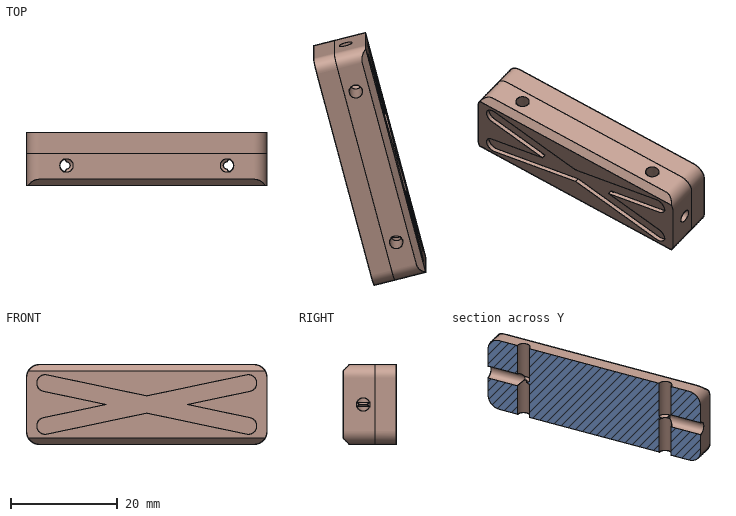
import cadquery as cq
import math

LENGTH = 45.0
DEPTH = 10.0
HEIGHT = 15.0
CORNER_RADIUS = 2.48
COVER_THICKNESS = 4.0
HOUSING_DEPTH = DEPTH - COVER_THICKNESS
CHAMFER = 1.2

RECESS_DEPTH = 0.8
RECESS_HALF_WIDTH = 1.58
RECESS_END_X = 19.0
RECESS_END_Z = 4.0

HOLE_DIAMETER = 2.48
HOLE_RADIUS = HOLE_DIAMETER / 2
DRILL_POINT_ANGLE = 118
SHOULDER_GAP = 0.35
HOLE_Y = 3.8
HOLE_FROM_END = 7.5
CROSS_HOLE_X = LENGTH / 2 - HOLE_FROM_END


def rounded_slab(front_y, thickness):
    """Slab with rounded corners, extending toward +Y from front_y."""
    slab = cq.Workplane("XY").box(LENGTH, thickness, HEIGHT)
    return slab.edges("|Y").fillet(CORNER_RADIUS).translate((0, front_y + thickness / 2, 0))


def chamfer_wedge(side):
    """Triangular bar that bevels the upper (+1) or lower (-1) front edge."""
    edge_z = side * HEIGHT / 2
    return (
        cq.Workplane("YZ")
        .moveTo(0, edge_z)
        .lineTo(CHAMFER, edge_z)
        .lineTo(0, edge_z - side * CHAMFER)
        .close()
        .extrude(LENGTH / 2, both=True)
    )


def recess_stroke(side):
    """One round-ended diagonal of the X, rising (+1) or falling (-1) along X."""
    end_distance = math.hypot(RECESS_END_X, RECESS_END_Z)
    slope_angle = math.degrees(math.atan2(RECESS_END_Z, RECESS_END_X))
    slot_length = 2 * (end_distance + RECESS_HALF_WIDTH)
    return (
        cq.Workplane("XZ")
        .slot2D(slot_length, 2 * RECESS_HALF_WIDTH, side * slope_angle)
        .extrude(-RECESS_DEPTH)
    )


def drilled_hole(shoulder_depth):
    """Drill shape pointing toward -Z from the origin: a cylinder with a conical tip."""
    tip_length = HOLE_RADIUS / math.tan(math.radians(DRILL_POINT_ANGLE / 2))
    return (
        cq.Workplane("XZ")
        .lineTo(HOLE_RADIUS, 0)
        .lineTo(HOLE_RADIUS, -shoulder_depth)
        .lineTo(0, -shoulder_depth - tip_length)
        .close()
        .revolve(360, (0, 0, 0), (0, 1, 0))
    )


def cross_hole(end, side):
    """Blind hole from the upper (+1) or lower (-1) long edge, near one end."""
    drill = drilled_hole(HEIGHT / 2 - SHOULDER_GAP).translate((0, 0, HEIGHT / 2))
    if side < 0:
        drill = drill.rotate((0, 0, 0), (1, 0, 0), 180)
    return drill.translate((end * CROSS_HOLE_X, HOLE_Y, 0))


def end_hole(end):
    """Blind hole along X from one end face into the cross holes."""
    drill = drilled_hole(HOLE_FROM_END - SHOULDER_GAP)
    drill = drill.rotate((0, 0, 0), (0, 1, 0), end * 90)
    return drill.translate((end * LENGTH / 2, HOLE_Y, 0))


def make_housing():
    housing = rounded_slab(0, HOUSING_DEPTH)
    for side in (-1, 1):
        housing = housing.cut(chamfer_wedge(side))
        housing = housing.cut(recess_stroke(side))
    for end in (-1, 1):
        housing = housing.cut(end_hole(end))
        for side in (-1, 1):
            housing = housing.cut(cross_hole(end, side))
    return housing


def make_cover():
    return rounded_slab(HOUSING_DEPTH, COVER_THICKNESS)


housing = make_housing()
cover = make_cover()

result = cq.Compound.makeCompound([*housing.vals(), *cover.vals()])